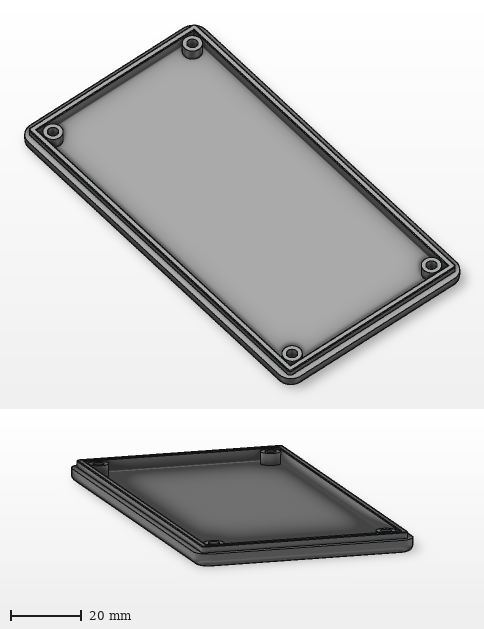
import cadquery as cq

length = 120.0
width = 65.0
height = 5.8
plate_height = 3.8
plate_corner_radius = 4.5
bottom_round = 1.9
floor_thickness = 1.9

lip_inset = 1.9
lip_thickness = 1.8
lip_corner_radius = 1.0
lip_chamfer = 0.2
floor_fillet = 0.4

boss_diameter = 5.8
hole_diameter = 3.1
boss_edge_distance = 7.0
boss_top = 5.4

pocket_inset = lip_inset + lip_thickness
boss_spacing_x = length - 2 * boss_edge_distance
boss_spacing_y = width - 2 * boss_edge_distance


def inset_block(inset, bottom, top):
    """Make a block inset equally from all four sides of the plate."""
    return (
        cq.Workplane("XY", origin=(0, 0, bottom))
        .rect(length - 2 * inset, width - 2 * inset)
        .extrude(top - bottom)
    )


def boss_cylinders(diameter, bottom, top):
    """Make one upright cylinder at each of the four boss centres."""
    return (
        cq.Workplane("XY", origin=(0, 0, bottom))
        .rect(boss_spacing_x, boss_spacing_y, forConstruction=True)
        .vertices()
        .circle(diameter / 2)
        .extrude(top - bottom)
    )


plate = (
    inset_block(0, 0, plate_height)
    .edges("|Z")
    .fillet(plate_corner_radius)
    .faces("<Z")
    .edges()
    .fillet(bottom_round)
)

lip = inset_block(lip_inset, floor_thickness, height).edges("|Z").fillet(lip_corner_radius)
pocket = inset_block(pocket_inset, floor_thickness, height).faces("<Z").edges().fillet(floor_fillet)
cover = plate.union(lip).cut(pocket).faces(">Z").edges().chamfer(lip_chamfer)

cover = cover.union(boss_cylinders(boss_diameter, floor_thickness, boss_top))
result = cover.cut(boss_cylinders(hole_diameter, 0, height))